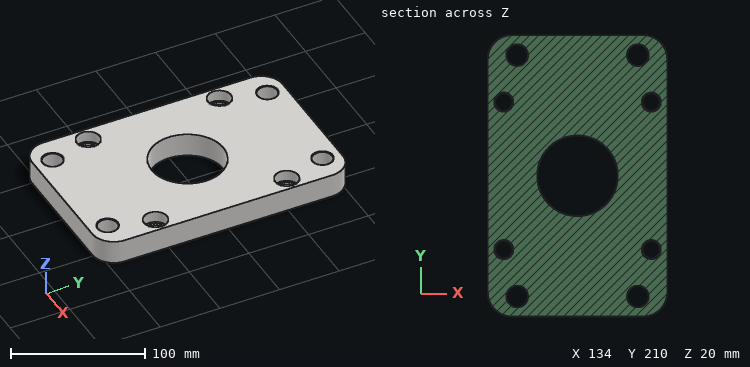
import cadquery as cq

plate_width = 134.0
plate_length = 210.0
plate_thickness = 20.0
corner_radius = 18.0

bore_diameter = 60.0

corner_hole_diameter = 16.0
corner_hole_chamfer = 0.5
corner_hole_spacing_x = 90.0
corner_hole_spacing_y = 180.0

screw_hole_diameter = 13.0
screw_hole_chamfer = 1.0
counterbore_diameter = 19.0
counterbore_depth = 9.5
screw_hole_spacing = 110.0


def make_plate():
    """Flat plate with rounded corners, resting on Z = 0."""
    plate = cq.Workplane("XY").box(
        plate_width, plate_length, plate_thickness, centered=(True, True, False)
    )
    return plate.edges("|Z").fillet(corner_radius)


def disc(diameter, bottom, top):
    """Cylinder on the Z axis between two heights."""
    return cq.Workplane("XY").workplane(offset=bottom).circle(diameter / 2).extrude(top - bottom)


def chamfered_hole(diameter, chamfer, top):
    """Cutter for a hole from Z = 0 up to a chamfered mouth at the given height."""
    return disc(diameter, 0, top).union(
        cq.Workplane("XY")
        .workplane(offset=top - chamfer)
        .circle(diameter / 2)
        .workplane(offset=chamfer)
        .circle(diameter / 2 + chamfer)
        .loft()
    )


def counterbored_hole():
    """Cutter for a screw hole below a counterbore that opens at the top face."""
    floor = plate_thickness - counterbore_depth
    hole = chamfered_hole(screw_hole_diameter, screw_hole_chamfer, floor)
    return hole.union(disc(counterbore_diameter, floor, plate_thickness))


def cut_pattern(body, cutter, spacing_x, spacing_y):
    """Cut the same shape at the four corners of a centred rectangle."""
    for x in (-spacing_x / 2, spacing_x / 2):
        for y in (-spacing_y / 2, spacing_y / 2):
            body = body.cut(cutter.translate((x, y, 0)))
    return body


result = make_plate().cut(disc(bore_diameter, 0, plate_thickness))
result = cut_pattern(
    result,
    chamfered_hole(corner_hole_diameter, corner_hole_chamfer, plate_thickness),
    corner_hole_spacing_x,
    corner_hole_spacing_y,
)
result = cut_pattern(result, counterbored_hole(), screw_hole_spacing, screw_hole_spacing)